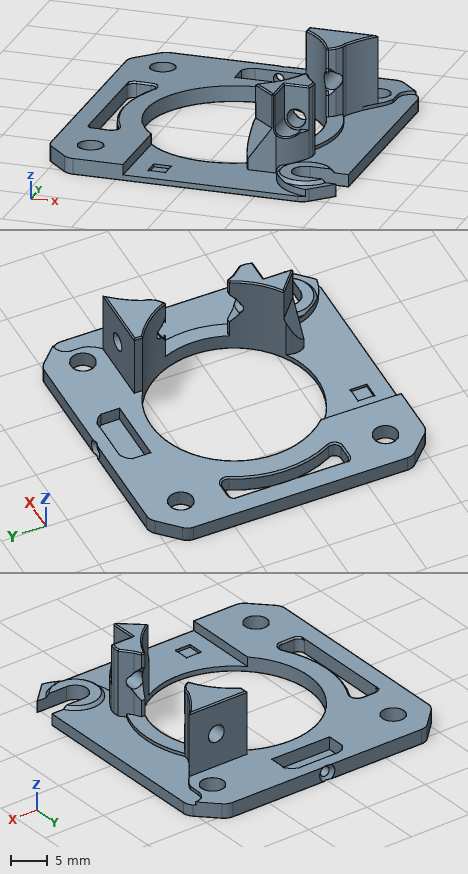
import cadquery as cq
import math

plate_side = 42.0
plate_height = 2.3
corner_cut = 4.0
corner_round = 2.0
bore_radius = 12.6
screw_offset = 15.5
screw_hole_diameter = 3.6
half_side = plate_side / 2

side_level = 1.8
recess_level = 0.8
rim_radius = 15.0
recess_left = -9.0
recess_arc_radius = 7.55
recess_arc_start = (10.95, -13.0)
recess_arc_end = (17.35, -20.75)
recess_inner_x = 8.4
recess_inner_y = -6.3
rim_end_x = 13.0
step_top = (20.25, 17.8)
step_post_x = 10.6

open_slot_width = 3.9
ring_foot_radius = 4.05
ring_top_radius = 3.55

window_left = -18.15
window_half_length = 9.05
window_arc_radius = 16.0
window_round = 1.0
window_chamfer = 0.25
bevel_angle = 45

pocket_half_width = 4.95
pocket_low_y = 15.0
pocket_shoulder_y = 17.8
pocket_high_y = 19.05
pocket_top_half_width = 3.4
pocket_bend = (4.33, 18.6)
pocket_depth = 2.0
pocket_hole_diameter = 1.5
pocket_sink_diameter = 2.6
square_side = 2.5
square_x = -5.05
square_y = -17.0
square_depth = 0.4

total_height = 12.3
post_chamfer = 0.2
mouth_chamfer = 0.15
back_post_y = 11.9
front_post_y = -13.7
cross_x = 12.1
cross_z = 7.45
cross_diameter = 2.7
back_sink_radius = 2.0
back_sink_start = 4.9
back_sink_end = 5.6
front_sink_radius = 2.6
front_sink_start = -4.8
front_sink_end = -6.2
trough_diameter = 3.4
notch_size = 8.4
notch_back_y = -9.4
notch_floor = 5.92
ramp_top = 7.3
ramp_run = 2.35
ramp_reach = 3
ramp_left_corner = (6.7, -10.75)
ramp_right_x = 10.05


def extrude_between(outline, low, high):
    return outline.extrude(high - low).translate((0, 0, low))


def make_plate():
    plate = cq.Workplane("XY").rect(plate_side, plate_side).extrude(plate_height)
    plate = plate.edges("|Z").chamfer(corner_cut).edges("|Z").fillet(corner_round)
    spots = [(-screw_offset, -screw_offset), (-screw_offset, screw_offset), (screw_offset, screw_offset)]
    holes = cq.Workplane("XY").pushPoints(spots).circle(screw_hole_diameter / 2).extrude(plate_height)
    return plate.cut(holes)


def make_bore():
    """Bore through the plate and along the posts, flared at the post tops."""
    flare = cq.Solid.makeCone(bore_radius, bore_radius + post_chamfer, post_chamfer)
    flare = flare.translate(cq.Vector(0, 0, total_height - post_chamfer))
    return cq.Workplane("XY").circle(bore_radius).extrude(total_height).union(cq.Workplane(flare))


def make_side_step():
    """Right-hand area that is lowered to the side level."""
    rim_end_y = math.sqrt(rim_radius**2 - rim_end_x**2)
    outline = (
        cq.Workplane("XY")
        .moveTo(*step_top)
        .threePointArc((18.8, 17.3), (18.23, 15.95))
        .lineTo(18.2, 14.03)
        .threePointArc((17.75, 13.15), (16.75, back_post_y))
        .lineTo(rim_end_x, rim_end_y)
        .threePointArc((rim_radius, 0), (rim_end_x, -rim_end_y))
        .lineTo(step_post_x, front_post_y)
        .lineTo(step_post_x, -half_side)
        .lineTo(half_side, -half_side)
        .lineTo(half_side, step_top[1])
        .close()
    )
    return extrude_between(outline, side_level, plate_height)


def make_ring():
    rise = plate_height - side_level
    ring = cq.Solid.makeCone(ring_foot_radius, ring_top_radius, rise)
    return cq.Workplane(ring.translate(cq.Vector(screw_offset, -screw_offset, side_level)))


def make_recess():
    """Low front area, ending in an arc that trims the raised ring."""
    outline = (
        cq.Workplane("XY")
        .moveTo(recess_left, -half_side)
        .lineTo(recess_left, recess_inner_y)
        .lineTo(recess_inner_x, recess_inner_y)
        .lineTo(recess_inner_x, recess_arc_start[1])
        .lineTo(*recess_arc_start)
        .radiusArc(recess_arc_end, -recess_arc_radius)
        .lineTo(recess_arc_end[0], -half_side)
        .close()
    )
    return extrude_between(outline, recess_level, plate_height)


def make_open_slot():
    end = cq.Workplane("XY").circle(open_slot_width / 2).extrude(plate_height)
    run = cq.Workplane("XY").rect(plate_side, open_slot_width).extrude(plate_height)
    return end.union(run.translate((half_side, 0, 0))).translate((screw_offset, -screw_offset, 0))


def make_window():
    end_x = -math.sqrt(window_arc_radius**2 - window_half_length**2)
    outline = (
        cq.Workplane("XY")
        .moveTo(window_left, -window_half_length)
        .lineTo(end_x, -window_half_length)
        .threePointArc((-window_arc_radius, 0), (end_x, window_half_length))
        .lineTo(window_left, window_half_length)
        .close()
    )
    window = outline.extrude(plate_height).edges("|Z").fillet(window_round)
    rim = window.faces("<Z").wires().toPending().extrude(window_chamfer, combine=False, taper=-bevel_angle)
    beyond_left = cq.Workplane("XY").box(plate_side, plate_side, plate_side)
    rim = rim.cut(beyond_left.translate((window_left - half_side, 0, 0)))
    rim = rim.translate((0, 0, plate_height - window_chamfer))
    return window.union(rim)


def make_pocket():
    bend_x, bend_y = pocket_bend
    outline = (
        cq.Workplane("XY")
        .moveTo(-pocket_half_width, pocket_low_y)
        .lineTo(pocket_half_width, pocket_low_y)
        .lineTo(pocket_half_width, pocket_shoulder_y)
        .threePointArc((bend_x, bend_y), (pocket_top_half_width, pocket_high_y))
        .lineTo(-pocket_top_half_width, pocket_high_y)
        .threePointArc((-bend_x, bend_y), (-pocket_half_width, pocket_shoulder_y))
        .close()
    )
    return extrude_between(outline, plate_height - pocket_depth, plate_height)


def make_pocket_hole():
    """Countersunk hole from the back edge of the plate into the pocket."""
    radius = pocket_hole_diameter / 2
    sink_radius = pocket_sink_diameter / 2
    start = cq.Vector(0, half_side, plate_height / 2)
    inward = cq.Vector(0, -1, 0)
    sink = cq.Solid.makeCone(sink_radius, radius, sink_radius - radius, start, inward)
    hole = cq.Solid.makeCylinder(radius, half_side - pocket_shoulder_y, start, inward)
    return cq.Workplane(hole).union(cq.Workplane(sink))


def make_square_pocket():
    outline = cq.Workplane("XY").center(square_x, square_y).rect(square_side, square_side)
    return extrude_between(outline, recess_level - square_depth, recess_level)


def along_y(radius, y_from, y_to, end_radius=None):
    """Round bar or cone on the axis of the cross hole."""
    direction = cq.Vector(0, math.copysign(1, y_to - y_from), 0)
    start = cq.Vector(cross_x, y_from, cross_z)
    length = abs(y_to - y_from)
    if end_radius is None:
        return cq.Workplane(cq.Solid.makeCylinder(radius, length, start, direction))
    return cq.Workplane(cq.Solid.makeCone(radius, end_radius, length, start, direction))


def make_back_post():
    """Post outline runs into the bore, which trims it later."""
    outline = (
        cq.Workplane("XY")
        .moveTo(6.8, back_post_y)
        .lineTo(6.8, 8.4)
        .lineTo(10.5, 4.8)
        .lineTo(11.93, 4.9)
        .lineTo(12.75, 5.6)
        .lineTo(13.45, 6.55)
        .lineTo(13.6, 7.4)
        .threePointArc((15.0, 9.75), (16.75, back_post_y))
        .close()
    )
    return extrude_between(outline, recess_level, total_height).faces(">Z").chamfer(post_chamfer)


def make_front_post():
    """Post outline runs into the bore, which trims it later."""
    outline = (
        cq.Workplane("XY")
        .moveTo(6.6, front_post_y)
        .threePointArc((6.05, -12.25), (6.4, -10.88))
        .lineTo(6.7, -8.4)
        .lineTo(10.5, -4.8)
        .lineTo(12.25, -4.85)
        .lineTo(12.75, -5.9)
        .lineTo(14.15, -7.6)
        .lineTo(14.15, -8.5)
        .lineTo(13.95, notch_back_y)
        .threePointArc((12.8, -11.3), (step_post_x, front_post_y))
        .close()
    )
    post = extrude_between(outline, recess_level, total_height)
    post = post.cut(make_ramp_cut()).cut(make_notch())
    post = post.faces(">Z").chamfer(post_chamfer)
    mouth = cq.selectors.BoxSelector((10.3, -13.75, 5.45), (12.98, -11.3, 7.5))
    return post.edges(mouth).edges("not |Y").chamfer(mouth_chamfer)


def make_notch():
    """Corner notch whose floor is a round trough with a flat shelf beside it."""
    block = cq.Workplane("XY").box(notch_size, notch_size, notch_size, centered=False)
    notch_front_y = notch_back_y - notch_size
    notch = along_y(trough_diameter / 2, notch_back_y, notch_front_y)
    notch = notch.union(block.translate((cross_x - trough_diameter / 2, notch_front_y, cross_z)))
    return notch.union(block.translate((cross_x, notch_front_y, notch_floor)))


def make_ramp_cut():
    """Upright diagonal face that turns into a ramp toward the plate."""
    start = cq.Vector(*ramp_left_corner, 0)
    end = cq.Vector(ramp_right_x, front_post_y, 0)
    along = end - start
    outward = along.cross(cq.Vector(0, 0, 1))
    plane = cq.Plane(origin=(end + along).toTuple(), xDir=outward.toTuple(), normal=(-along).toTuple())
    profile = (
        cq.Workplane(plane)
        .moveTo(0, total_height)
        .lineTo(0, ramp_top)
        .lineTo(ramp_run, plate_height)
        .lineTo(ramp_run, total_height)
        .close()
    )
    return profile.extrude(ramp_reach * along.Length)


def make_cross_hole():
    """Hole through both posts, countersunk where the posts face each other."""
    radius = cross_diameter / 2
    hole = along_y(radius, -half_side, half_side)
    back_sink = along_y(back_sink_radius, back_sink_start, back_sink_end, radius)
    front_sink = along_y(front_sink_radius, front_sink_start, front_sink_end, radius)
    return hole.union(back_sink).union(front_sink)


result = make_plate().cut(make_side_step()).union(make_ring()).cut(make_recess())
result = result.cut(make_open_slot()).cut(make_window())
result = result.cut(make_pocket()).cut(make_pocket_hole()).cut(make_square_pocket())
result = result.union(make_back_post()).union(make_front_post())
result = result.cut(make_bore()).cut(make_cross_hole())